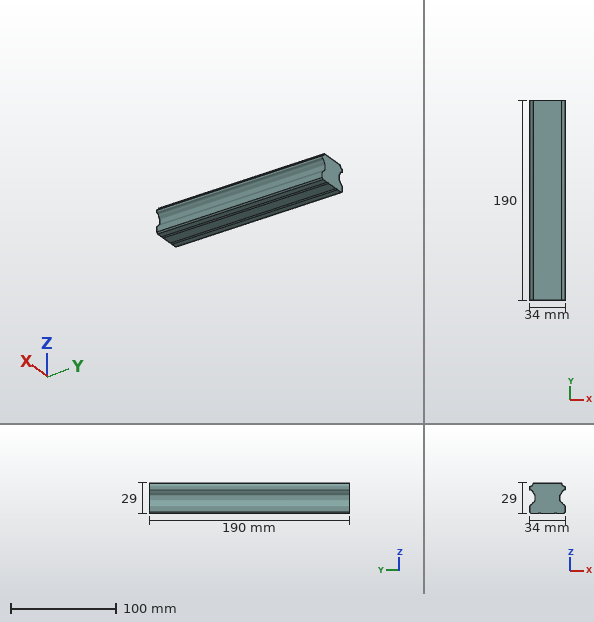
import cadquery as cq

RAIL_WIDTH = 34.0
RAIL_LENGTH = 190.0
RAIL_HEIGHT = 29.0

FOOT_CHAMFER = 1.5
FOOT_SIDE_HEIGHT = 7.1

NECK_WIDTH = 23.7
NECK_TOP = 17.25
NECK_TOP_FILLET = 0.5

TOP_FLAT_WIDTH = 27.0
TOP_CHAMFER_WIDTH = 0.2
TOP_CHAMFER_HEIGHT = 0.5
LAND_BOTTOM = 22.75
LAND_TOP = 25.5
LIP_WIDTH = 0.6
LIP_RISE = 0.3
UPPER_GROOVE_RADIUS = 3.3
LOWER_GROOVE_RADIUS = 3.0
LOWER_GROOVE_END_X = 13.8
LOWER_GROOVE_END_Z = 20.0
LOWER_LIP_DROP = 0.3

FOOT_SLOPE_FILLET = 1.0
GROOVE_END_FILLET = 0.8
LAND_FILLET = 0.3

RELIEF_SPACING = 14.9
RELIEF_WIDTH = 2.8
RELIEF_DEPTH = 0.45

half_width = RAIL_WIDTH / 2
half_neck = NECK_WIDTH / 2
half_top = TOP_FLAT_WIDTH / 2
neck_bottom = FOOT_SIDE_HEIGHT + half_width - half_neck
lip_x = half_width - LIP_WIDTH


def section_plane():
    """XZ sketch plane at the far end, so that extruding runs toward -Y."""
    return cq.Workplane("XZ", origin=(0, RAIL_LENGTH / 2, 0))


def round_long_edge(body, x, z, radius):
    """Fillet the edge along Y that passes through (x, z)."""
    nearest = cq.selectors.NearestToPointSelector((x, 0, z))
    return body.edges("|Y").edges(nearest).fillet(radius)


def half_rail():
    """Right half of the rail, bounded by the centre plane."""
    body = (
        section_plane()
        .lineTo(half_width - FOOT_CHAMFER, 0)
        .lineTo(half_width, FOOT_CHAMFER)
        .lineTo(half_width, FOOT_SIDE_HEIGHT)
        .lineTo(half_neck, neck_bottom)
        .lineTo(half_neck, NECK_TOP)
        .lineTo(LOWER_GROOVE_END_X, LOWER_GROOVE_END_Z)
        .radiusArc((lip_x, LAND_BOTTOM - LOWER_LIP_DROP), LOWER_GROOVE_RADIUS)
        .lineTo(half_width, LAND_BOTTOM)
        .lineTo(half_width, LAND_TOP)
        .lineTo(lip_x, LAND_TOP + LIP_RISE)
        .radiusArc((half_top + TOP_CHAMFER_WIDTH, RAIL_HEIGHT - TOP_CHAMFER_HEIGHT), UPPER_GROOVE_RADIUS)
        .lineTo(half_top, RAIL_HEIGHT)
        .lineTo(0, RAIL_HEIGHT)
        .close()
        .extrude(RAIL_LENGTH)
    )
    body = round_long_edge(body, half_width, FOOT_SIDE_HEIGHT, FOOT_SLOPE_FILLET)
    body = round_long_edge(body, half_neck, neck_bottom, FOOT_SLOPE_FILLET)
    body = round_long_edge(body, half_neck, NECK_TOP, NECK_TOP_FILLET)
    body = round_long_edge(body, LOWER_GROOVE_END_X, LOWER_GROOVE_END_Z, GROOVE_END_FILLET)
    body = round_long_edge(body, half_width, LAND_BOTTOM, LAND_FILLET)
    body = round_long_edge(body, half_width, LAND_TOP, LAND_FILLET)
    return body


def relief_groove(x):
    """Shallow arc-shaped channel cut into the underside, centred on x."""
    return (
        section_plane()
        .moveTo(x - RELIEF_WIDTH / 2, 0)
        .threePointArc((x, RELIEF_DEPTH), (x + RELIEF_WIDTH / 2, 0))
        .close()
        .extrude(RAIL_LENGTH)
    )


right_half = half_rail()
result = right_half.union(right_half.mirror("YZ")).clean()
for side in (-1, 1):
    result = result.cut(relief_groove(side * RELIEF_SPACING / 2))